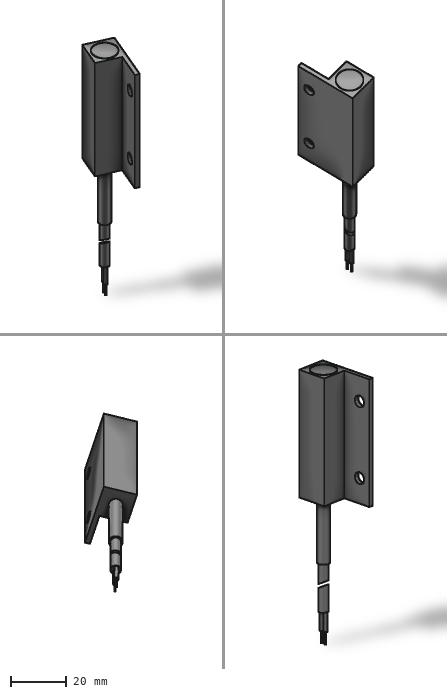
import cadquery as cq

total_height = 107.2
housing_height = 49.9
housing_width = 25.0
block_side = 12.5
flange_thickness = 1.9
housing_bottom = total_height - housing_height
axis_x = block_side / 2
axis_y = block_side / 2

hole_diameter = 4.5
hole_x = 20.0
hole_end_distance = 10.0

recess_diameter = 10.1
recess_depth = 0.2

sleeve_diameter = 5.0
sleeve_bottom = 31.8
jacket_diameter = 3.9
jacket_bottom = 12.8
break_rise = 2.1
upper_break_height = 24.0
lower_break_height = 22.5
wire_offset = 1.0
insulation_diameter = 1.5
insulation_bottom = 4.9
conductor_diameter = 0.7


def vertical_rod(x, diameter, bottom, top):
    """Round rod between two heights, centred on the cable in Y."""
    return (
        cq.Workplane("XY", origin=(x, axis_y, bottom))
        .circle(diameter / 2)
        .extrude(top - bottom)
    )


def slanted_jacket(bottom_left, bottom_right, top_left, top_right):
    """Stretch of jacket whose ends rise linearly from its left to its right side."""
    left = axis_x - jacket_diameter / 2
    right = axis_x + jacket_diameter / 2
    side_outline = (
        cq.Workplane("XZ", origin=(0, block_side, 0))
        .polyline([(left, bottom_left), (right, bottom_right), (right, top_right), (left, top_left)])
        .close()
        .extrude(block_side)
    )
    return vertical_rod(axis_x, jacket_diameter, jacket_bottom, sleeve_bottom).intersect(side_outline)


def make_housing():
    """Housing with the sleeve and the upper stretch of cable attached."""
    block = cq.Workplane("XY", origin=(0, 0, housing_bottom)).box(
        block_side, block_side, housing_height, centered=False
    )
    flange = cq.Workplane("XY", origin=(0, block_side - flange_thickness, housing_bottom)).box(
        housing_width, flange_thickness, housing_height, centered=False
    )
    hole_heights = [housing_bottom + hole_end_distance, total_height - hole_end_distance]
    holes = (
        cq.Workplane("XZ", origin=(0, block_side, 0))
        .pushPoints([(hole_x, height) for height in hole_heights])
        .circle(hole_diameter / 2)
        .extrude(flange_thickness)
    )
    recess = vertical_rod(axis_x, recess_diameter, total_height - recess_depth, total_height)
    sleeve = vertical_rod(axis_x, sleeve_diameter, sleeve_bottom, housing_bottom)
    jacket = slanted_jacket(
        upper_break_height - break_rise / 2,
        upper_break_height + break_rise / 2,
        sleeve_bottom,
        sleeve_bottom,
    )
    return block.union(flange).cut(holes).cut(recess).union(sleeve).union(jacket)


def make_cable_end():
    """Lower stretch of cable with its two stripped wires."""
    cable_end = slanted_jacket(
        jacket_bottom,
        jacket_bottom,
        lower_break_height - break_rise / 2,
        lower_break_height + break_rise / 2,
    )
    for side in (-1, 1):
        wire_x = axis_x + side * wire_offset
        insulation = vertical_rod(wire_x, insulation_diameter, insulation_bottom, jacket_bottom)
        conductor = vertical_rod(wire_x, conductor_diameter, 0, insulation_bottom)
        cable_end = cable_end.union(insulation).union(conductor)
    return cable_end


housing = make_housing()
cable_end = make_cable_end()

result = cq.Compound.makeCompound([housing.val(), cable_end.val()])